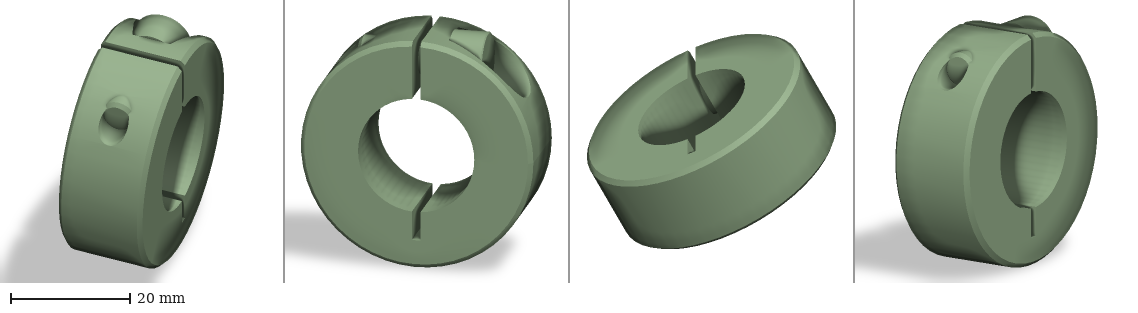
import cadquery as cq

outer_diameter = 40.0
bore_diameter = outer_diameter / 2
width = 15.0
rim_chamfer = 0.75
wall = (outer_diameter - bore_diameter) / 2

split_width = 1.5
hinge_slot_depth = wall / 2

screw_height = (outer_diameter + bore_diameter) / 4
screw_diameter = 6.0
screw_length = 16.0
tip_chamfer = 0.65
head_diameter = 10.0
head_length = screw_diameter
head_chamfer = 0.2
seat_y = 4.65

counterbore_diameter = 11.2
tapped_hole_diameter = 5.0


def cylinder_along_y(diameter, start_y, end_y):
    """Cylinder on the screw axis between two Y positions."""
    return (
        cq.Workplane("XZ", origin=(0, start_y, screw_height))
        .circle(diameter / 2)
        .extrude(start_y - end_y)
    )


def cylinder_along_x(diameter):
    """Cylinder about X over the full collar width, centred on the origin."""
    return cq.Workplane("YZ", origin=(-width / 2, 0, 0)).circle(diameter / 2).extrude(width)


def make_ring():
    disc = cylinder_along_x(outer_diameter).faces("<X or >X").chamfer(rim_chamfer)
    return disc.cut(cylinder_along_x(bore_diameter))


def make_split():
    """Vertical slit from the hinge slot floor out through the top."""
    floor_z = -bore_diameter / 2 - hinge_slot_depth
    slit_height = outer_diameter / 2 - floor_z
    return cq.Workplane("XY", origin=(0, 0, floor_z)).box(
        width, split_width, slit_height, centered=(True, True, False)
    )


def make_screw():
    shank = (
        cylinder_along_y(screw_diameter, seat_y, seat_y - screw_length)
        .faces("<Y")
        .chamfer(tip_chamfer)
    )
    head = (
        cylinder_along_y(head_diameter, seat_y, seat_y + head_length)
        .faces(">Y")
        .chamfer(head_chamfer)
    )
    return shank.union(head)


counterbore = cylinder_along_y(counterbore_diameter, seat_y, outer_diameter / 2)
tapped_hole = cylinder_along_y(tapped_hole_diameter, 0, -outer_diameter / 2)

collar = make_ring().cut(make_split()).cut(counterbore).cut(tapped_hole)
result = collar.union(make_screw())